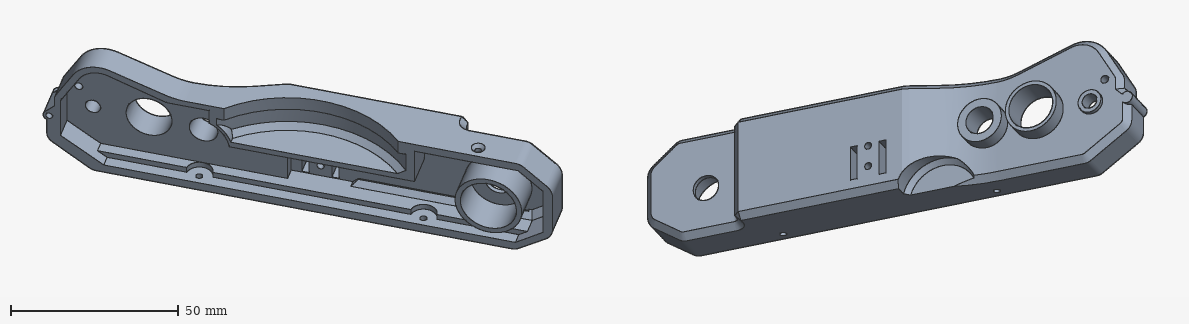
import cadquery as cq
import math

LENGTH = 158.5
BODY_TOP = 34.2
BACK_Y = 18.2
HEAD_BACK_Y = 11.0
TAIL_BACK_Y = 12.7
STEP_X = 127.6
BACK_CHAMFER = 2.0
CORNER_RADIUS = 4.0
SIDE_CORNER_RADIUS = 5.2
EPS = 0.02

HEAD_X, HEAD_Z = 17.8, 31.4
HEAD_RADIUS = 9.8
HEAD_LEFT_ANGLE = 60.0
HEAD_RIGHT_ANGLE = 17.8
HEIGHT = HEAD_Z + HEAD_RADIUS
NECK_RADIUS = 20.6

LEFT_X = 1.1
SHOULDER_X = 3.5
LUG_RADIUS = 1.9
LUG_X, LUG_Z = LUG_RADIUS, 18.4
LUG_HOLE = 2.0
LUG_HOLE_DEPTH = 4.8
SHOULDER_Z = LUG_Z + LUG_RADIUS * math.sqrt(2) + SHOULDER_X - LUG_X
TOP_CORNER_X = 148.4
SIDE_UPPER_Z, SIDE_LOWER_Z = 26.0, 8.0
BOTTOM_RIGHT_X = 147.0
BOTTOM_LEFT_X = 15.4
SIDE_LEFT_Z = 9.4

CAVITY_LEFT_X = 5.4
CAVITY_RIGHT_X = 155.5
CAVITY_TOP = 32.3
CAVITY_TAIL_TOP = 31.5
CAVITY_CORNER_X = 147.7
CAVITY_UPPER_Z, CAVITY_LOWER_Z = 25.2, 8.9
CAVITY_BOTTOM_RIGHT_X = 147.0
CAVITY_BOTTOM_LEFT_X = 18.9
CAVITY_SIDE_LEFT_Z = 11.4
CAVITY_HEAD_RADIUS = 7.6
CAVITY_HEAD_ANGLE = 19.0
RABBET_FLOOR = 2.9
CAVITY_FLOOR = 4.8
RABBET_DEPTH = 3.6
HEAD_DEPTH = 7.1
TAIL_DEPTH = 11.1
TAIL_START_X = 74.0
INNER_CHAMFER = 2.2
RAMP_START_X, RAMP_END_X = 93.2, 148.0
RAMP_TOP = 6.5

BLOCK_LEFT_X = 51.7
BLOCK_RIGHT_X = 115.5
BLOCK_BOTTOM = 19.5
WHEEL_X, WHEEL_Y = 83.4, -26.5
WHEEL_RADIUS = 37.9
WHEEL_LOWER_RADIUS = 39.6
WHEEL_FLOOR = 21.4
WHEEL_STEP_Z = 29.6
WHEEL_CHAMFER = 1.9

SHAFT = (30.9, 18.9, 14.3, 16.6, 16.2)
KNOB = (47.9, 17.9, 8.9, 14.3, 15.7)
PIVOT = (13.5, 18.9, 4.8, 7.5, 12.2)
BOSSED_HOLES = (SHAFT, KNOB, PIVOT)
PIN_HOLE = (9.0, 25.8, 2.5)
KNOB_X, KNOB_Z = KNOB[:2]
KNOB_CLEARANCE = 15.0
KNOB_RECESS_RADIUS = 10.1
KNOB_RECESS_DEPTH = 4.5
KNOB_WALL_RADIUS = 11.1

NOTCH_X, NOTCH_Z = 61.8, -3.3
NOTCH_RADIUS = 12.7
NOTCH_CHAMFER = 1.6

SLOT_X = (78.5, 87.8)
SLOT_WIDTH = 2.2
SLOT_BOTTOM, SLOT_TOP = 5.0, 16.2
SWITCH_HOLE = 2.2
SWITCH_HOLE_Z = (8.5, 15.4)

TUBE_X, TUBE_Z = 138.5, 15.4
TUBE_OUTER = 20.8
TUBE_BORE = 17.5
TUBE_HOLE = 8.2

SCREW_X = (47.7, 117.5)
SCREW_Y = 3.0
SCREW_HOLE = 2.0
SCREW_NOTCH = 8.2
TOP_SCREW_X, TOP_SCREW_Y = 134.2, 3.8
TOP_SCREW_HEAD = 4.1
TOP_SCREW_HEAD_DEPTH = 1.1


def front_plane(y=0.0):
    """Sketch plane with local x, y along X, Z; a negative extrusion runs toward +Y, the back."""
    return cq.Workplane("XZ", origin=(0, y, 0))


def cylinder_y(x, z, diameter, start, end):
    return front_plane(start).center(x, z).circle(diameter / 2).extrude(start - end)


def cylinder_z(x, y, diameter, start, end):
    return cq.Workplane("XY", origin=(x, y, start)).circle(diameter / 2).extrude(end - start)


def box(x0, x1, y0, y1, z0, z1):
    return cq.Workplane("XY").box(x1 - x0, y1 - y0, z1 - z0, centered=False).translate((x0, y0, z0))


def head_outline(radius, right_angle, left_x, top_z):
    """Foot of the left flank, the three arc points and the foot of the right flank."""
    left = math.radians(HEAD_LEFT_ANGLE)
    right = math.radians(right_angle)
    start = (HEAD_X - radius * math.sin(left), HEAD_Z + radius * math.cos(left))
    crown = (HEAD_X, HEAD_Z + radius)
    end = (HEAD_X + radius * math.sin(right), HEAD_Z + radius * math.cos(right))
    left_foot = (left_x, start[1] - (start[0] - left_x) * math.tan(left))
    right_foot = (end[0] + (end[1] - top_z) / math.tan(right), top_z)
    return left_foot, start, crown, end, right_foot


def make_shell():
    """Solid outer body with its stepped, chamfered back."""
    left_foot, start, crown, end, neck = head_outline(
        HEAD_RADIUS, HEAD_RIGHT_ANGLE, SHOULDER_X, BODY_TOP
    )
    top_right = (TOP_CORNER_X, BODY_TOP)
    side_upper = (LENGTH, SIDE_UPPER_Z)
    side_lower = (LENGTH, SIDE_LOWER_Z)
    bottom_right = (BOTTOM_RIGHT_X, 0)
    bottom_left = (BOTTOM_LEFT_X, 0)
    side_left = (LEFT_X, SIDE_LEFT_Z)
    body = (
        front_plane()
        .moveTo(*left_foot)
        .lineTo(*start)
        .threePointArc(crown, end)
        .polyline(
            [neck, top_right, side_upper, side_lower, bottom_right, bottom_left, side_left,
             (LEFT_X, SHOULDER_Z - (SHOULDER_X - LEFT_X)), (SHOULDER_X, SHOULDER_Z)],
            includeCurrent=True,
        )
        .close()
        .extrude(-BACK_Y)
    )

    def corner(point):
        return cq.selectors.BoxSelector(
            (point[0] - EPS, -EPS, point[1] - EPS), (point[0] + EPS, BACK_Y + EPS, point[1] + EPS)
        )

    for point in (left_foot, top_right, bottom_right, bottom_left, side_left):
        body = body.edges(corner(point)).fillet(CORNER_RADIUS)
    for point in (side_upper, side_lower):
        body = body.edges(corner(point)).fillet(SIDE_CORNER_RADIUS)
    body = body.edges(corner(neck)).fillet(NECK_RADIUS)
    body = body.intersect(back_profile())
    return chamfer_back(body)


def back_profile():
    """Prism whose back follows head, rising sweep, raised middle, step and tail."""
    sweep_start_x = 44.4
    sweep_radius = 46.0
    sweep_angle = math.radians(22.0)
    crest_drop = 0.6
    crest_run = 2.2
    step_fillet = 1.7

    def sweep_point(angle):
        return (
            sweep_start_x + sweep_radius * math.sin(angle),
            HEAD_BACK_Y + sweep_radius * (1 - math.cos(angle)),
        )

    sweep_end = sweep_point(sweep_angle)
    crest_y = BACK_Y - crest_drop
    crest_x = sweep_end[0] + (crest_y - sweep_end[1]) / math.tan(sweep_angle)
    return (
        cq.Workplane("XY")
        .lineTo(0, HEAD_BACK_Y)
        .lineTo(sweep_start_x, HEAD_BACK_Y)
        .threePointArc(sweep_point(sweep_angle / 2), sweep_end)
        .lineTo(crest_x, crest_y)
        .lineTo(crest_x + crest_run, BACK_Y)
        .lineTo(STEP_X, BACK_Y)
        .lineTo(STEP_X, TAIL_BACK_Y + step_fillet)
        .radiusArc((STEP_X + step_fillet, TAIL_BACK_Y), -step_fillet)
        .lineTo(LENGTH, TAIL_BACK_Y)
        .lineTo(LENGTH, 0)
        .close()
        .extrude(HEIGHT)
    )


def chamfer_back(body):
    """Bevel the whole back rim and the top edge of the step, but no crease across the back."""
    rim = [
        edge
        for edge in body.edges("not |Z").vals()
        if edge.BoundingBox().ymin > HEAD_BACK_Y - EPS
    ]
    step_middle = (STEP_X, BACK_Y, BODY_TOP / 2)
    step_edge = body.edges("|Z").edges(cq.selectors.NearestToPointSelector(step_middle))
    return body.newObject(rim + step_edge.vals()).chamfer(BACK_CHAMFER)


def make_cavity():
    """Stepped hollow: rabbet at the front, shallow head, deeper tail, relief around the knob."""
    left_foot, start, crown, end, neck = head_outline(
        CAVITY_HEAD_RADIUS, CAVITY_HEAD_ANGLE, CAVITY_LEFT_X, CAVITY_TOP
    )
    outline = (
        front_plane()
        .moveTo(*left_foot)
        .lineTo(*start)
        .threePointArc(crown, end)
        .polyline(
            [
                neck,
                (BLOCK_LEFT_X, CAVITY_TOP),
                (BLOCK_LEFT_X, BLOCK_BOTTOM),
                (BLOCK_RIGHT_X, BLOCK_BOTTOM),
                (BLOCK_RIGHT_X, CAVITY_TAIL_TOP),
                (CAVITY_CORNER_X, CAVITY_TAIL_TOP),
                (CAVITY_RIGHT_X, CAVITY_UPPER_Z),
                (CAVITY_RIGHT_X, CAVITY_LOWER_Z),
                (CAVITY_BOTTOM_RIGHT_X, RABBET_FLOOR),
                (CAVITY_BOTTOM_LEFT_X, RABBET_FLOOR),
                (CAVITY_LEFT_X, CAVITY_SIDE_LEFT_Z),
            ],
            includeCurrent=True,
        )
        .close()
        .extrude(-TAIL_DEPTH)
    )
    rabbet = outline.intersect(box(0, LENGTH, 0, RABBET_DEPTH, 0, HEIGHT))
    head = outline.intersect(box(0, TAIL_START_X, 0, HEAD_DEPTH, CAVITY_FLOOR, HEIGHT))
    tail = outline.intersect(box(RAMP_START_X, LENGTH, 0, TAIL_DEPTH, CAVITY_FLOOR, BODY_TOP))
    rim = [
        edge
        for edge in tail.faces(">Y").edges().vals()
        if edge.Center().z > CAVITY_TAIL_TOP - EPS
        or edge.Center().z < CAVITY_FLOOR + EPS
        or edge.Center().x > CAVITY_CORNER_X
    ]
    tail = tail.newObject(rim).chamfer(INNER_CHAMFER)
    switch_bay = (
        front_plane()
        .polyline([
            (TAIL_START_X, CAVITY_FLOOR), (RAMP_START_X, CAVITY_FLOOR),
            (RAMP_START_X + RAMP_TOP - CAVITY_FLOOR, RAMP_TOP), (RAMP_END_X, RAMP_TOP),
            (RAMP_END_X, BLOCK_BOTTOM), (TAIL_START_X, BLOCK_BOTTOM),
        ])
        .close()
        .extrude(-TAIL_DEPTH)
    )
    clearance = cylinder_y(KNOB_X, KNOB_Z, KNOB_CLEARANCE, 0, HEAD_DEPTH)
    recess = cylinder_y(KNOB_X, KNOB_Z, 2 * KNOB_RECESS_RADIUS, 0, KNOB_RECESS_DEPTH).intersect(
        box(0, LENGTH, 0, BACK_Y, BLOCK_BOTTOM, CAVITY_TOP)
    )
    cavity = rabbet.union(head).union(tail).union(switch_bay).union(clearance).union(recess)
    for x in SCREW_X:
        cavity = cavity.union(cylinder_z(x, SCREW_Y, SCREW_NOTCH, RABBET_FLOOR, CAVITY_FLOOR + EPS))
    return cavity


def make_wheel_pocket():
    """Thumb wheel pocket: narrow mouth at the top, wider below, bevelled at its floor."""
    mouth = cylinder_z(WHEEL_X, WHEEL_Y, 2 * WHEEL_RADIUS, WHEEL_FLOOR, BODY_TOP)
    lower = cylinder_z(WHEEL_X, WHEEL_Y, 2 * WHEEL_LOWER_RADIUS, WHEEL_FLOOR, WHEEL_STEP_Z)
    lower = lower.faces("<Z").edges().chamfer(WHEEL_CHAMFER)
    pocket = mouth.intersect(box(0, LENGTH, 0, BACK_Y, WHEEL_STEP_Z, HEIGHT)).union(
        lower.intersect(box(0, LENGTH, 0, BACK_Y, 0, BODY_TOP))
    )
    return pocket.cut(cylinder_y(KNOB_X, KNOB_Z, 2 * KNOB_WALL_RADIUS, 0, BACK_Y))


def make_lug():
    """Round lug on the left wall with a 45 degree web rising to the shoulder."""
    tangent = LUG_RADIUS * math.sqrt(0.5)
    web = (
        front_plane()
        .polyline([(LUG_X, LUG_Z), (LUG_X - tangent, LUG_Z + tangent), (LUG_X, LUG_Z + 2 * tangent)])
        .close()
        .extrude(BACK_CHAMFER - HEAD_BACK_Y)
    )
    lug = cylinder_y(LUG_X, LUG_Z, 2 * LUG_RADIUS, 0, HEAD_BACK_Y)
    return lug.union(web)


def make_top_screw_hole():
    """Countersunk hole through the tail's top wall."""
    shank = cylinder_z(TOP_SCREW_X, TOP_SCREW_Y, SCREW_HOLE, CAVITY_TAIL_TOP, BODY_TOP)
    sink = cq.Solid.makeCone(
        SCREW_HOLE / 2,
        TOP_SCREW_HEAD / 2,
        TOP_SCREW_HEAD_DEPTH,
        cq.Vector(TOP_SCREW_X, TOP_SCREW_Y, BODY_TOP - TOP_SCREW_HEAD_DEPTH),
    )
    return shank.union(cq.Workplane(sink))


def make_back_notch():
    """Arched notch across the lower edge of the sweep, bevelled at its floor."""
    notch = cylinder_y(NOTCH_X, NOTCH_Z, 2 * NOTCH_RADIUS, HEAD_BACK_Y, BACK_Y)
    return notch.faces("<Y").edges().chamfer(NOTCH_CHAMFER)


def make_tube():
    """Hollow tube standing on the tail floor, level with the open front."""
    tube = cylinder_y(TUBE_X, TUBE_Z, TUBE_OUTER, 0, TAIL_DEPTH + EPS)
    return tube.cut(cylinder_y(TUBE_X, TUBE_Z, TUBE_BORE, 0, TAIL_DEPTH))


def make_holes():
    """All plain holes and slots through the floor, and the screw holes through the bottom wall."""
    switch_x = sum(SLOT_X) / len(SLOT_X)
    round_holes = [bossed[:3] for bossed in BOSSED_HOLES]
    round_holes += [PIN_HOLE, (TUBE_X, TUBE_Z, TUBE_HOLE)]
    round_holes += [(switch_x, z, SWITCH_HOLE) for z in SWITCH_HOLE_Z]
    holes = cylinder_y(LUG_X, LUG_Z, LUG_HOLE, 0, LUG_HOLE_DEPTH)
    for x, z, diameter in round_holes:
        holes = holes.union(cylinder_y(x, z, diameter, 0, BACK_Y))
    for x in SLOT_X:
        holes = holes.union(
            box(x - SLOT_WIDTH / 2, x + SLOT_WIDTH / 2, 0, BACK_Y, SLOT_BOTTOM, SLOT_TOP)
        )
    for x in SCREW_X:
        holes = holes.union(cylinder_z(x, SCREW_Y, SCREW_HOLE, 0, RABBET_FLOOR))
    return holes.union(make_top_screw_hole())


result = make_shell().cut(make_back_notch()).union(make_lug())
for x, z, _, boss_diameter, boss_end in BOSSED_HOLES:
    result = result.union(cylinder_y(x, z, boss_diameter, HEAD_DEPTH, boss_end))
result = result.cut(make_cavity()).cut(make_wheel_pocket())
result = result.union(make_tube()).cut(make_holes())